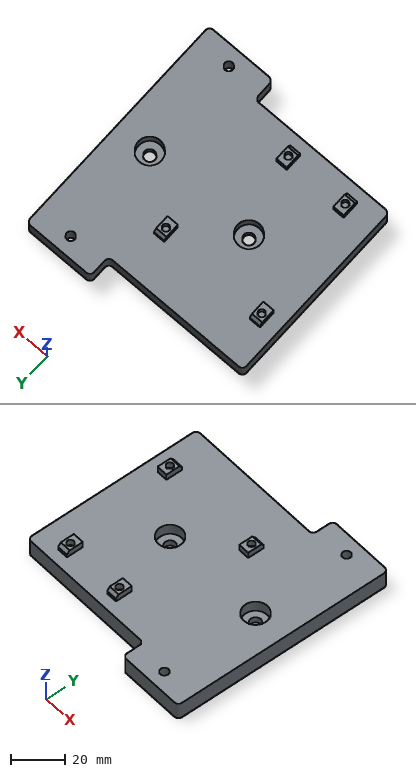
import cadquery as cq

length_x = 97.7
bar_length = 101.6
bar_width = 31.5
panel_width = 81.6
plate_thickness = 8.2
corner_radius = 2.0

bar_hole_diameter = 3.9
bar_hole_edge_distance = 6.8
bolt_hole_diameter = 5.0
counterbore_diameter = 11.3
counterbore_depth = 5.2
bolt_spacing = length_x / 2

total_height = 11.2
pad_height = total_height - plate_thickness
pad_width = 5.1
pad_length = 7.6
pad_hole_to_plain_end = 3.8
pad_bevel_length = 1.3
pad_bevel_height = 1.5
pad_hole_diameter = 3.1

pads = [
    (-40.1, 20.4, 1),
    (8.3, 19.0, 1),
    (-35.1, -31.8, -1),
    (-7.0, -31.8, -1),
]

right_edge = length_x / 2
bar_center_x = right_edge - bar_width / 2


def make_plate():
    """T-shaped plate with every vertical corner rounded, inner ones included."""
    panel = cq.Workplane("XY").box(length_x, panel_width, plate_thickness, centered=(True, True, False))
    bar = (
        cq.Workplane("XY")
        .center(bar_center_x, 0)
        .box(bar_width, bar_length, plate_thickness, centered=(True, True, False))
    )
    return panel.union(bar).clean().edges("|Z").fillet(corner_radius)


def make_pad(x, y, bevel_direction):
    """Block with one bevelled top edge, extruded across X from its side profile."""
    plain_end = y - bevel_direction * pad_hole_to_plain_end
    bevel_end = plain_end + bevel_direction * pad_length
    bevel_start = bevel_end - bevel_direction * pad_bevel_length
    profile = [
        (plain_end, plate_thickness),
        (bevel_end, plate_thickness),
        (bevel_end, total_height - pad_bevel_height),
        (bevel_start, total_height),
        (plain_end, total_height),
    ]
    return (
        cq.Workplane("YZ", origin=(x, 0, 0))
        .polyline(profile)
        .close()
        .extrude(pad_width / 2, both=True)
    )


plate = make_plate()

bolt_points = [(bar_center_x, 0), (bar_center_x - bolt_spacing, 0)]
plate = (
    plate.faces(">Z")
    .workplane(origin=(0, 0, plate_thickness))
    .pushPoints(bolt_points)
    .cboreHole(bolt_hole_diameter, counterbore_diameter, counterbore_depth)
)

bar_hole_y = bar_length / 2 - bar_hole_edge_distance
plate = (
    plate.faces(">Z")
    .workplane(origin=(0, 0, plate_thickness))
    .pushPoints([(bar_center_x, bar_hole_y), (bar_center_x, -bar_hole_y)])
    .hole(bar_hole_diameter)
)

result = plate
for pad_x, pad_y, pad_direction in pads:
    result = result.union(make_pad(pad_x, pad_y, pad_direction))

pad_points = [(pad_x, pad_y) for pad_x, pad_y, _ in pads]
result = (
    result.faces(">Z")
    .workplane(origin=(0, 0, total_height))
    .pushPoints(pad_points)
    .hole(pad_hole_diameter, pad_height)
)